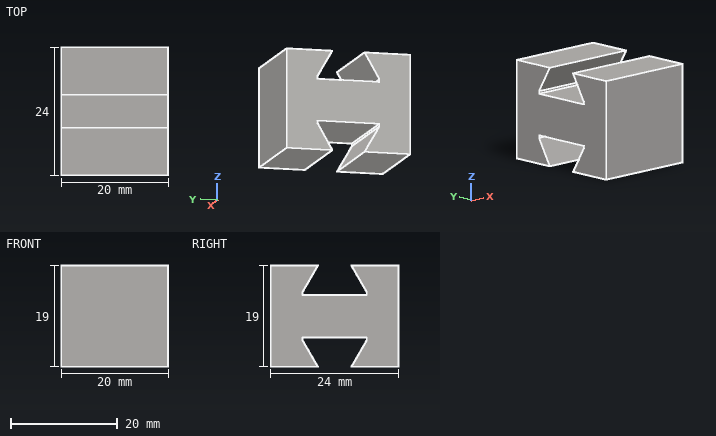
import cadquery as cq
import math

length_x = 20.0
width_y = 24.0
height_z = 19.0

groove_depth = 5.5
groove_floor_width = 12.0
flank_angle = 60.0
corner_relief_height = 0.5

flank_height = groove_depth - corner_relief_height
flank_run = flank_height / math.tan(math.radians(flank_angle))
half_floor = groove_floor_width / 2
half_mouth = half_floor - flank_run


def dovetail_groove(side):
    """Groove cutter along X for the top (side = 1) or bottom (side = -1) face."""
    mouth_z = side * height_z / 2
    floor_z = mouth_z - side * groove_depth
    flank_start_z = floor_z + side * corner_relief_height
    outline = [
        (-half_mouth, mouth_z),
        (-half_floor, flank_start_z),
        (-half_floor, floor_z),
        (half_floor, floor_z),
        (half_floor, flank_start_z),
        (half_mouth, mouth_z),
    ]
    return cq.Workplane("YZ").polyline(outline).close().extrude(length_x / 2, both=True)


result = cq.Workplane("XY").box(length_x, width_y, height_z)
for side in (1, -1):
    result = result.cut(dovetail_groove(side))